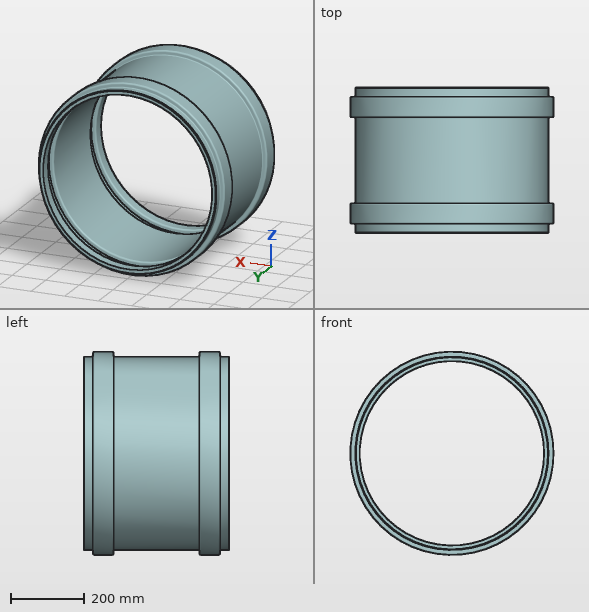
import cadquery as cq

LENGTH = 398.0
BORE_DIAMETER = 502.0
TUBE_DIAMETER = 528.0
COLLAR_DIAMETER = 555.0
GROOVE_DIAMETER = 529.0

COLLAR_START = 25.5
COLLAR_WIDTH = 56.5
GROOVE_START = 36.5
GROOVE_WIDTH = 34.5

END_CHAMFER = 2.0
COLLAR_EDGE_RADIUS = 5.0
COLLAR_FOOT_RADIUS = 3.0
GROOVE_LIP_RADIUS = 5.0


def cylinder(diameter, start, length):
    """Solid cylinder on the Y axis, running from Y = start toward +Y."""
    plane = cq.Plane(origin=(0, start, 0), xDir=(1, 0, 0), normal=(0, 1, 0))
    return cq.Workplane(plane).circle(diameter / 2).extrude(length)


def mirrored_span(start, width):
    """Y positions of both sides of a band and of its twin at the other end."""
    near = -LENGTH / 2 + start
    far = near + width
    return [near, far, -far, -near]


def select_rings(body, diameter, positions):
    """Select the circular edges of one diameter lying at the given Y positions."""
    tolerance = 0.005

    def matches(edge):
        if edge.geomType() != "CIRCLE" or abs(edge.radius() - diameter / 2) > tolerance:
            return False
        return any(abs(edge.Center().y - y) < tolerance for y in positions)

    return body.newObject([edge for edge in body.edges().vals() if matches(edge)])


collar_sides = mirrored_span(COLLAR_START, COLLAR_WIDTH)
groove_sides = mirrored_span(GROOVE_START, GROOVE_WIDTH)

body = cylinder(TUBE_DIAMETER, -LENGTH / 2, LENGTH).edges().chamfer(END_CHAMFER)
for start in (collar_sides[0], collar_sides[2]):
    body = body.union(cylinder(COLLAR_DIAMETER, start, COLLAR_WIDTH))
body = select_rings(body, COLLAR_DIAMETER, collar_sides).fillet(COLLAR_EDGE_RADIUS)
body = select_rings(body, TUBE_DIAMETER, collar_sides).fillet(COLLAR_FOOT_RADIUS)

body = body.cut(cylinder(BORE_DIAMETER, -LENGTH / 2, LENGTH))
for start in (groove_sides[0], groove_sides[2]):
    body = body.cut(cylinder(GROOVE_DIAMETER, start, GROOVE_WIDTH))
body = select_rings(body, BORE_DIAMETER, groove_sides).fillet(GROOVE_LIP_RADIUS)

result = body